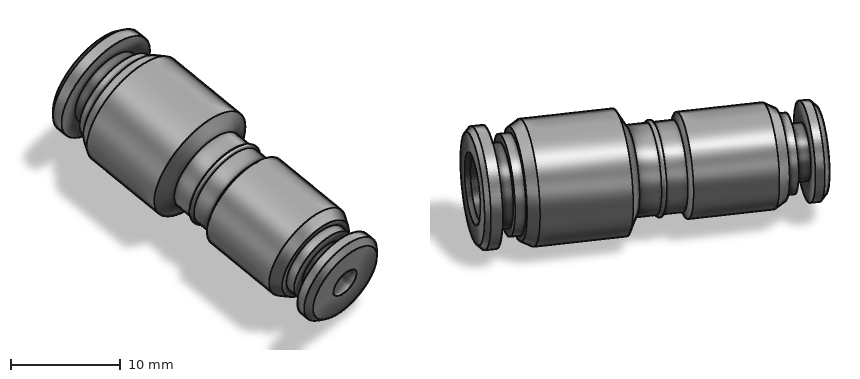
import cadquery as cq
import math

length = 32.5

large_flange_diameter = 11.45
large_flange_chamfer = 0.5
large_flange_end = 1.6
large_neck_diameter = 7.93
large_neck_end = 2.95
large_collar_diameter = 9.5
large_collar_end = 3.95
large_body_diameter = 11.8
large_body_end = 13.75

waist_diameter = 8.5
bead_radius = 0.245
bead_station = 17.0

small_body_diameter = 9.88
small_body_start = 19.6
small_body_end = 28.7
small_collar_diameter = 7.55
small_collar_end = 29.67
small_neck_diameter = 5.4
small_flange_diameter = 9.42
small_flange_chamfer = 0.6
small_flange_start = 31.05

nose_taper_length = 1.07
nose_taper_angle = 30.0
waist_taper_angle = 60.0

socket_diameter = 6.18
socket_chamfer_width = 0.3
socket_chamfer_depth = 0.5
socket_depth = large_body_end
socket_floor_angle = 60.0
passage_diameter = 3.0


def taper_run(wide_diameter, narrow_diameter, angle):
    """Axial length of a cone between two diameters."""
    return (wide_diameter - narrow_diameter) / 2 / math.tan(math.radians(angle))


def revolve_about_axis(outline):
    """Close a half outline drawn in XY and turn it about the X axis."""
    return outline.close().revolve(360, (0, 0, 0), (1, 0, 0))


def make_outer_body():
    nose_drop = nose_taper_length * math.tan(math.radians(nose_taper_angle))
    large_flange_radius = large_flange_diameter / 2
    large_neck_radius = large_neck_diameter / 2
    large_collar_radius = large_collar_diameter / 2
    large_body_radius = large_body_diameter / 2
    waist_radius = waist_diameter / 2
    small_body_radius = small_body_diameter / 2
    small_collar_radius = small_collar_diameter / 2
    small_neck_radius = small_neck_diameter / 2
    small_flange_radius = small_flange_diameter / 2
    waist_start = large_body_end + taper_run(large_body_diameter, waist_diameter, waist_taper_angle)
    waist_end = small_body_start - taper_run(small_body_diameter, waist_diameter, waist_taper_angle)

    outline = (
        cq.Workplane("XY")
        .moveTo(0, 0)
        .lineTo(0, large_flange_radius - large_flange_chamfer)
        .lineTo(large_flange_chamfer, large_flange_radius)
        .lineTo(large_flange_end, large_flange_radius)
        .lineTo(large_flange_end, large_neck_radius)
        .lineTo(large_neck_end, large_neck_radius)
        .lineTo(large_neck_end, large_collar_radius)
        .lineTo(large_collar_end, large_collar_radius)
        .lineTo(large_collar_end, large_body_radius - nose_drop)
        .lineTo(large_collar_end + nose_taper_length, large_body_radius)
        .lineTo(large_body_end, large_body_radius)
        .lineTo(waist_start, waist_radius)
        .lineTo(bead_station - bead_radius, waist_radius)
        .threePointArc(
            (bead_station, waist_radius + bead_radius),
            (bead_station + bead_radius, waist_radius),
        )
        .lineTo(waist_end, waist_radius)
        .lineTo(small_body_start, small_body_radius)
        .lineTo(small_body_end - nose_taper_length, small_body_radius)
        .lineTo(small_body_end, small_body_radius - nose_drop)
        .lineTo(small_body_end, small_collar_radius)
        .lineTo(small_collar_end, small_collar_radius)
        .lineTo(small_collar_end, small_neck_radius)
        .lineTo(small_flange_start, small_neck_radius)
        .lineTo(small_flange_start, small_flange_radius)
        .lineTo(length - small_flange_chamfer, small_flange_radius)
        .lineTo(length, small_flange_radius - small_flange_chamfer)
        .lineTo(length, 0)
    )
    return revolve_about_axis(outline)


def make_bore():
    socket_radius = socket_diameter / 2
    passage_radius = passage_diameter / 2
    passage_start = socket_depth + taper_run(socket_diameter, passage_diameter, socket_floor_angle)

    outline = (
        cq.Workplane("XY")
        .moveTo(0, 0)
        .lineTo(0, socket_radius + socket_chamfer_width)
        .lineTo(socket_chamfer_depth, socket_radius)
        .lineTo(socket_depth, socket_radius)
        .lineTo(passage_start, passage_radius)
        .lineTo(length, passage_radius)
        .lineTo(length, 0)
    )
    return revolve_about_axis(outline)


result = make_outer_body().cut(make_bore()).translate((-length / 2, 0, 0))